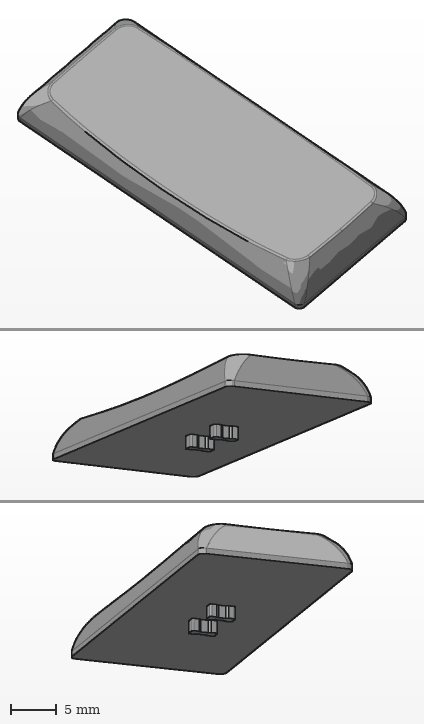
import cadquery as cq
import math

LENGTH = 41.75
WIDTH = 18.0
RIM_HEIGHT = 0.65
STEM_HEIGHT = 1.4
TOTAL_HEIGHT = 5.75
CROWN_HEIGHT = TOTAL_HEIGHT - STEM_HEIGHT

RIM_CORNER_RADIUS = 0.75
CROWN_CORNER_RADIUS = 1.88

WALL_RADIUS = 5.55
WALL_START_LEAN = math.radians(7)
WALL_SECTIONS = 6
WALL_OVERRUN = 0.25

DISH_RADIUS = 167.0
DISH_BOTTOM = 3.2
DISH_EDGE_FILLET = 0.4

STEM_SPACING = 5.68
STEM_THICKNESS = 1.25
STEM_DEPTH = 3.0
STEM_CORNER_RADIUS = 0.2
WAIST_LENGTH = 1.38
WAIST_FLOOR_LENGTH = 0.85
WAIST_DEPTH = 0.15


def rounded_outline(height, inset, corner_radius):
    """Rounded rectangle at a height, drawn in from the rim outline by the inset."""
    return (
        cq.Sketch()
        .rect(LENGTH - 2 * inset, WIDTH - 2 * inset)
        .vertices()
        .fillet(corner_radius)
        .moved(cq.Location(cq.Vector(0, 0, height)))
    )


def wall_inset(rise):
    """Inward travel of the wall arc at a given rise above the rim."""
    lean = math.asin(math.sin(WALL_START_LEAN) + rise / WALL_RADIUS)
    return WALL_RADIUS * (math.cos(WALL_START_LEAN) - math.cos(lean))


def make_rim():
    return cq.Workplane("XY").placeSketch(rounded_outline(0, 0, RIM_CORNER_RADIUS)).extrude(RIM_HEIGHT)


def make_walls():
    wall_rise = CROWN_HEIGHT - RIM_HEIGHT
    corner_growth = (CROWN_CORNER_RADIUS - RIM_CORNER_RADIUS) / wall_rise
    loft_rise = wall_rise + WALL_OVERRUN
    sections = []
    for step in range(WALL_SECTIONS):
        rise = loft_rise * step / (WALL_SECTIONS - 1)
        corner_radius = RIM_CORNER_RADIUS + corner_growth * rise
        sections.append(rounded_outline(RIM_HEIGHT + rise, wall_inset(rise), corner_radius))
    return cq.Workplane("XY").placeSketch(*sections).loft()


def dish_sphere():
    return cq.Workplane("XY").sphere(DISH_RADIUS).translate((0, 0, DISH_BOTTOM + DISH_RADIUS))


def make_stem(x_center):
    half_waist = WAIST_LENGTH / 2
    half_floor = WAIST_FLOOR_LENGTH / 2
    stem = (
        cq.Workplane("XY")
        .rect(STEM_THICKNESS, STEM_DEPTH)
        .extrude(-STEM_HEIGHT)
        .edges("|Z")
        .fillet(STEM_CORNER_RADIUS)
    )
    for side in (-1, 1):
        face_x = side * STEM_THICKNESS / 2
        floor_x = face_x - side * WAIST_DEPTH
        waist = (
            cq.Workplane("XY")
            .polyline([
                (face_x, -half_waist),
                (floor_x, -half_floor),
                (floor_x, half_floor),
                (face_x, half_waist),
            ])
            .close()
            .extrude(-STEM_HEIGHT)
        )
        stem = stem.cut(waist)
    return stem.translate((x_center, 0, 0))


cap = make_walls().cut(dish_sphere())
dish_face = cq.selectors.NearestToPointSelector((0, 0, DISH_BOTTOM))
cap = cap.faces(dish_face).edges().fillet(DISH_EDGE_FILLET)

result = make_rim().union(cap)
for side in (-1, 1):
    result = result.union(make_stem(side * STEM_SPACING / 2))